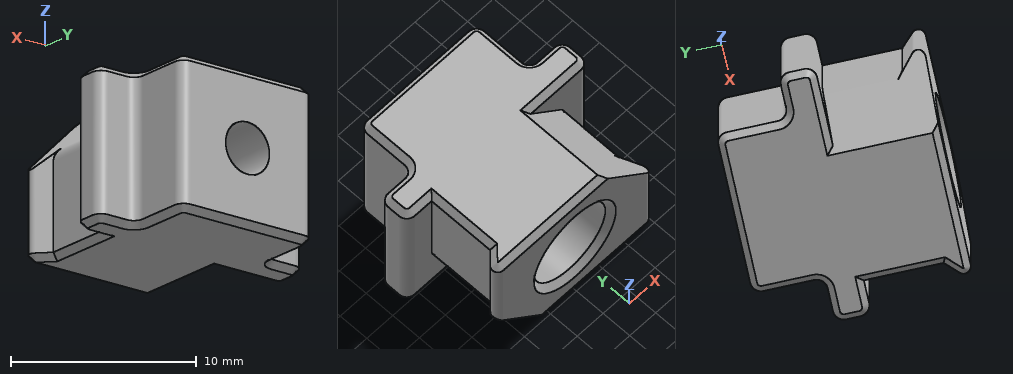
import cadquery as cq

height = 9.0
length = 11.8
flange_width = 14.0
flange_thickness = 2.0
flange_front = 5.8
flange_back = flange_front + flange_thickness

block_width = 9.0
neck_width = 10.2
flare = 1.4

corner_radius = 0.6
flare_tip_radius = 0.4
edge_chamfer = 0.39

flat_offset = 6.64
flat_edge_radius = 1.0

bore_diameter = 3.0
counterbore_diameter = 5.5
counterbore_depth = 7.0
bore_chamfer = 0.4


def mirrored_prism(right_side):
    """Prism over the full height; its plan is the given half mirrored about X = 0."""
    left_side = [(-x, y) for x, y in reversed(right_side)]
    return (
        cq.Workplane("XY")
        .workplane(offset=-height / 2)
        .polyline(right_side + left_side)
        .close()
        .extrude(height)
    )


def chamfer_ends(body):
    """Chamfer the complete top and bottom outlines."""
    return body.faces("<Z or >Z").edges().chamfer(edge_chamfer)


def make_flanged_block():
    """Rear block and its flange, with every upright corner rounded."""
    half_block = block_width / 2
    half_flange = flange_width / 2
    block = mirrored_prism([
        (half_flange, flange_front),
        (half_flange, flange_back),
        (half_block, flange_back),
        (half_block, length),
    ])
    return chamfer_ends(block.edges("|Z").fillet(corner_radius))


def make_corner_cutter():
    """Triangular prism removing the upper +X corner of the neck."""
    reach = flange_width
    return (
        cq.Workplane("XZ")
        .polyline([(flat_offset - reach, reach), (reach, reach), (reach, flat_offset - reach)])
        .close()
        .extrude(-flange_back)
    )


def make_neck():
    """Flared neck with two opposite corners cut flat, running on into the flange."""
    half_neck = neck_width / 2
    neck_end = flange_front + 2 * edge_chamfer
    neck = mirrored_prism([
        (half_neck + flare, 0),
        (half_neck, flare),
        (half_neck, neck_end),
    ])
    neck = chamfer_ends(neck.faces("<Y").edges("|Z").fillet(flare_tip_radius))

    corner_cutter = make_corner_cutter()
    opposite_cutter = corner_cutter.rotate((0, 0, 0), (0, 1, 0), 180)
    neck = neck.cut(corner_cutter).cut(opposite_cutter)

    side_edge_y = (flare + neck_end) / 2
    side_edge_z = flat_offset - half_neck
    for side in (1, -1):
        edge_point = (side * half_neck, side_edge_y, side * side_edge_z)
        neck = neck.edges(cq.selectors.NearestToPointSelector(edge_point)).fillet(flat_edge_radius)
    return neck


def make_bore():
    """Revolved stepped bore with a chamfer at the mouth and at the step."""
    bore_radius = bore_diameter / 2
    counterbore_radius = counterbore_diameter / 2
    return (
        cq.Workplane("XY")
        .polyline([
            (0, 0),
            (counterbore_radius + bore_chamfer, 0),
            (counterbore_radius, bore_chamfer),
            (counterbore_radius, counterbore_depth),
            (bore_radius + bore_chamfer, counterbore_depth),
            (bore_radius, counterbore_depth + bore_chamfer),
            (bore_radius, length),
            (0, length),
        ])
        .close()
        .revolve(360, (0, 0, 0), (0, 1, 0))
    )


result = make_flanged_block().union(make_neck()).cut(make_bore())